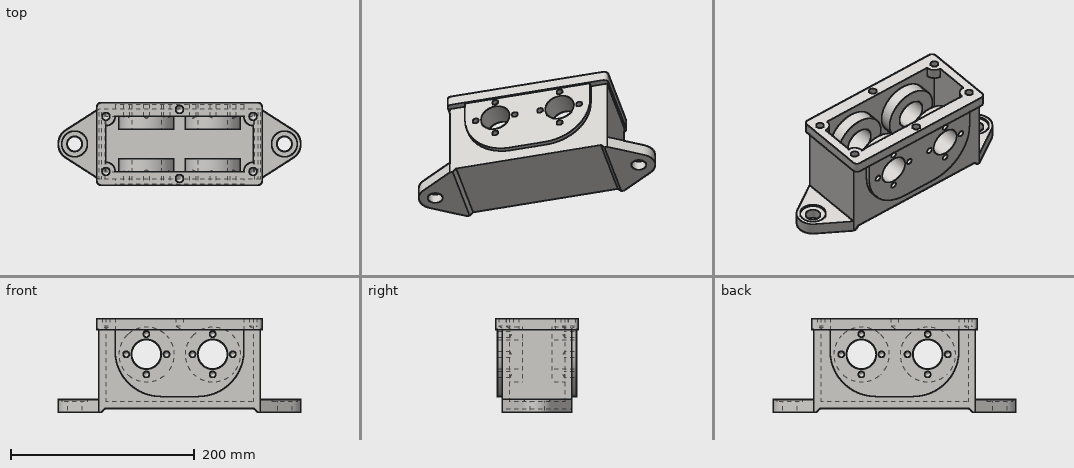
import cadquery as cq
import math

total_length = 264.0
total_height = 102.0

body_length = 176.0
body_width = 76.0
floor_thickness = 8.0
cavity_length = 160.0
cavity_width = 60.0

flange_length = 180.0
flange_width = 90.0
flange_thickness = 12.0
flange_corner_radius = 5.0

cover_hole_diameter = 8.5
cover_hole_depth = 8.0
middle_hole_y = 37.5
corner_boss_radius = 10.0

bore_diameter = 32.0
bore_spacing = 72.0
bore_depth_from_top = 38.8
boss_diameter = 60.0
boss_length = 14.0
bore_screw_diameter = 6.5
bore_screw_circle_radius = 22.0
bore_screw_depth = 13.2
screws_per_bore = 4

pad_length = 140.2
pad_projection = 5.0
pad_corner_radius = 50.0
pad_bottom_depth = 84.7

lug_thickness = 14.0
lug_end_radius = 18.0
lug_hole_diameter = 16.0
lug_recess_diameter = 28.0
lug_recess_depth = 2.0

relief_height = 4.0
relief_top_length = 162.0

drill_point_angle = 118.0

flange_bottom_z = total_height - flange_thickness
bore_z = total_height - bore_depth_from_top
pad_bottom_z = total_height - pad_bottom_depth
cavity_floor_z = relief_height + floor_thickness
pad_face_y = body_width / 2 + pad_projection
lug_hole_x = total_length / 2 - lug_end_radius
bore_centres = [(x, bore_z) for x in (-bore_spacing / 2, bore_spacing / 2)]
cavity_corners = [
    (sx * cavity_length / 2, sy * cavity_width / 2) for sx in (-1, 1) for sy in (-1, 1)
]


def block(length, width, bottom, top):
    """Box centred on the Z axis between two heights."""
    return cq.Workplane("XY", origin=(0, 0, bottom)).rect(length, width).extrude(top - bottom)


def across_y(y_start, y_end, centres, diameter):
    """Cylinders along Y between two Y positions, at (x, z) centres."""
    plane = cq.Workplane("XZ", origin=(0, y_start, 0))
    return plane.pushPoints(centres).circle(diameter / 2).extrude(y_start - y_end)


def drilled_hole(diameter, depth, position, direction):
    """Blind hole with a conical drill point beyond its full-diameter depth."""
    radius = diameter / 2
    point_depth = radius / math.tan(math.radians(drill_point_angle / 2))
    start = cq.Vector(*position)
    axis = cq.Vector(*direction)
    shank = cq.Solid.makeCylinder(radius, depth, start, axis)
    point = cq.Solid.makeCone(radius, 0, point_depth, start + axis * depth, axis)
    return cq.Workplane(shank.fuse(point))


def make_lugs():
    """Both lugs as one plate: sides run from the body corners tangent to the round ends."""
    corner_x = body_length / 2
    corner_y = body_width / 2
    reach = math.hypot(lug_hole_x - corner_x, corner_y)
    to_corner = math.atan2(corner_y, corner_x - lug_hole_x)
    tangent_angle = to_corner - math.acos(lug_end_radius / reach)
    tangent_x = lug_hole_x + lug_end_radius * math.cos(tangent_angle)
    tangent_y = lug_end_radius * math.sin(tangent_angle)
    tip_x = total_length / 2
    return (
        cq.Workplane("XY")
        .moveTo(-corner_x, corner_y)
        .lineTo(corner_x, corner_y)
        .lineTo(tangent_x, tangent_y)
        .threePointArc((tip_x, 0), (tangent_x, -tangent_y))
        .lineTo(corner_x, -corner_y)
        .lineTo(-corner_x, -corner_y)
        .lineTo(-tangent_x, -tangent_y)
        .threePointArc((-tip_x, 0), (-tangent_x, tangent_y))
        .close()
        .extrude(lug_thickness)
    )


def make_pads():
    """Pads on both long sides, rounded at their lower corners and ending under the flange."""
    pad = block(pad_length, 2 * pad_face_y, pad_bottom_z, flange_bottom_z)
    return pad.faces("<Z").edges("|Y").fillet(pad_corner_radius)


def make_cavity():
    """Open-topped cavity, leaving rounded screw bosses in the corners at flange level."""
    cavity = block(cavity_length, cavity_width, cavity_floor_z, total_height)
    corner_bosses = (
        cq.Workplane("XY", origin=(0, 0, flange_bottom_z))
        .pushPoints(cavity_corners)
        .circle(corner_boss_radius)
        .extrude(flange_thickness)
    )
    return cavity.cut(corner_bosses)


def make_relief():
    """Shallow channel under the body, running through along Y."""
    half_top = relief_top_length / 2
    half_bottom = half_top + relief_height
    return (
        cq.Workplane("XZ")
        .polyline([
            (-half_bottom, 0),
            (-half_top, relief_height),
            (half_top, relief_height),
            (half_bottom, 0),
        ])
        .close()
        .extrude(body_width, both=True)
    )


flange = block(flange_length, flange_width, flange_bottom_z, total_height)
flange = flange.edges("|Z").fillet(flange_corner_radius)
result = block(body_length, body_width, 0, flange_bottom_z)
result = result.union(make_lugs()).union(make_pads()).union(flange)

result = result.cut(make_cavity())
for side in (-1, 1):
    boss_root_y = side * body_width / 2
    boss_face_y = side * (cavity_width / 2 - boss_length)
    result = result.union(across_y(boss_root_y, boss_face_y, bore_centres, boss_diameter))
result = result.cut(across_y(-pad_face_y, pad_face_y, bore_centres, bore_diameter))

for side in (-1, 1):
    for x, z in bore_centres:
        for i in range(screws_per_bore):
            angle = i * 2 * math.pi / screws_per_bore
            hole_x = x + bore_screw_circle_radius * math.cos(angle)
            hole_z = z + bore_screw_circle_radius * math.sin(angle)
            start = (hole_x, side * pad_face_y, hole_z)
            result = result.cut(drilled_hole(bore_screw_diameter, bore_screw_depth, start, (0, -side, 0)))

for x, y in cavity_corners + [(0, -middle_hole_y), (0, middle_hole_y)]:
    result = result.cut(
        drilled_hole(cover_hole_diameter, cover_hole_depth, (x, y, total_height), (0, 0, -1))
    )

lug_centres = [(-lug_hole_x, 0), (lug_hole_x, 0)]
lug_top = cq.Workplane("XY", origin=(0, 0, lug_thickness)).pushPoints(lug_centres)
result = result.cut(lug_top.circle(lug_hole_diameter / 2).extrude(-lug_thickness))
result = result.cut(lug_top.circle(lug_recess_diameter / 2).extrude(-lug_recess_depth))

result = result.cut(make_relief())